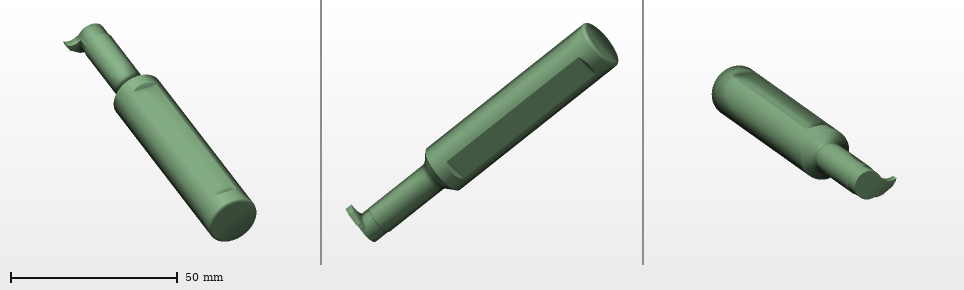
import cadquery as cq
import math


overall_length = 95.0
shank_radius = 16.0 / 2
neck_radius = 9.5 / 2
shoulder_x = 31.15
cone_angle = 45.0
neck_fillet = 2.1
end_fillet = 1.0

flat_height = 7.0
flat_start_x = 36.0
flat_end_x = 89.0
flat_depth = shank_radius - flat_height

head_radius = 9.0 / 2
tooth_lead = 0.3
root_face_x = 0.6
joint_x = 5.5
neck_chamfer = neck_radius - head_radius
ridge_y = -4.44
ridge_bottom_z = -0.7

tip_y = -9.0
tip_top_z = 1.05
tip_bottom_z = 0.35
scoop_start_z = 2.4
scoop_middle = (-6.9, 0.47)
relief_end = (-7.9, -1.45)
heel = (ridge_y, -3.9)
toe = (-2.7, -head_radius + 0.08)

tooth_width = 2.4
front_clearance = 4.5
rear_clearance = 5.0


def make_shank():
    """Neck, fillet, 45 degree cone and cylinder as one revolved outline, with the flats cut."""
    slope = math.radians(cone_angle)
    fillet_rise = neck_fillet * (1 - math.cos(slope))
    cone_start_radius = neck_radius + fillet_rise
    cone_start_x = shoulder_x - (shank_radius - cone_start_radius) / math.tan(slope)
    fillet_start_x = cone_start_x - neck_fillet * math.sin(slope)
    fillet_middle = (
        fillet_start_x + neck_fillet * math.sin(slope / 2),
        neck_radius + neck_fillet * (1 - math.cos(slope / 2)),
    )
    shank = (
        cq.Workplane("XY")
        .moveTo(joint_x, 0)
        .lineTo(joint_x, neck_radius - neck_chamfer)
        .lineTo(joint_x + neck_chamfer, neck_radius)
        .lineTo(fillet_start_x, neck_radius)
        .threePointArc(fillet_middle, (cone_start_x, cone_start_radius))
        .lineTo(shoulder_x, shank_radius)
        .lineTo(overall_length, shank_radius)
        .lineTo(overall_length, 0)
        .close()
        .revolve(360, (0, 0, 0), (1, 0, 0))
        .faces(">X")
        .edges()
        .fillet(end_fillet)
    )
    for side in (1, -1):
        shank = shank.cut(flat_cutter(side))
    return shank


def flat_cutter(side):
    """Trapezoid prism with 45 degree ends, above (side = 1) or below (side = -1) the axis."""
    return (
        cq.Workplane("XZ")
        .polyline([
            (flat_start_x, side * flat_height),
            (flat_end_x, side * flat_height),
            (flat_end_x + flat_depth, side * shank_radius),
            (flat_start_x - flat_depth, side * shank_radius),
        ])
        .close()
        .extrude(shank_radius, both=True)
    )


def scoop_outline(start_x):
    """Start an outline at the axis and run it along the concave top of the tooth to the tip."""
    scoop_start_y = -math.sqrt(head_radius**2 - scoop_start_z**2)
    return (
        cq.Workplane("YZ", origin=(start_x, 0, 0))
        .moveTo(0, 0)
        .lineTo(scoop_start_y, scoop_start_z)
        .threePointArc(scoop_middle, (tip_y, tip_top_z))
    )


def make_tooth():
    """Hooked tooth whose front and rear faces draw in below the cutting edge."""
    blank = (
        scoop_outline(0)
        .lineTo(tip_y, tip_bottom_z)
        .lineTo(*relief_end)
        .lineTo(*heel)
        .lineTo(*toe)
        .close()
        .extrude(tooth_width)
    )
    lowest_z = -head_radius
    front_x = (tip_top_z - lowest_z) * math.tan(math.radians(front_clearance))
    rear_x = tooth_width - (tip_top_z - lowest_z) * math.tan(math.radians(rear_clearance))
    side_limits = (
        cq.Workplane("XZ")
        .polyline([
            (0, scoop_start_z),
            (0, tip_top_z),
            (front_x, lowest_z),
            (rear_x, lowest_z),
            (tooth_width, tip_top_z),
            (tooth_width, scoop_start_z),
        ])
        .close()
        .extrude(-tip_y)
    )
    root_setback = (
        cq.Workplane("XY")
        .box(root_face_x, -ridge_y, 2 * head_radius, centered=(False, False, True))
        .translate((0, ridge_y, 0))
    )
    return blank.intersect(side_limits).cut(root_setback)


def make_ridge():
    """Ridge behind the tooth: it carries the scoop along the head and ends in a flat."""
    ridge_limits = (
        cq.Workplane("XY")
        .box(joint_x, -ridge_y, scoop_start_z - ridge_bottom_z, centered=False)
        .translate((0, ridge_y, ridge_bottom_z))
    )
    return (
        scoop_outline(tooth_lead)
        .lineTo(tip_y, ridge_bottom_z)
        .lineTo(0, ridge_bottom_z)
        .close()
        .extrude(joint_x - tooth_lead)
        .intersect(ridge_limits)
    )


def make_head():
    """Round head with its ridge flat and tooth, seated against the end of the neck."""
    flat_limits = (
        cq.Workplane("XY")
        .box(joint_x, head_radius - ridge_y, 2 * head_radius, centered=(False, False, True))
        .translate((0, ridge_y, 0))
    )
    body = (
        cq.Workplane("YZ", origin=(tooth_lead, 0, 0))
        .circle(head_radius)
        .extrude(joint_x - tooth_lead)
        .intersect(flat_limits)
    )
    return body.union(make_ridge()).union(make_tooth())


shank = make_shank()
cutting_head = make_head()

result = cq.Compound.makeCompound([shank.val(), cutting_head.val()])